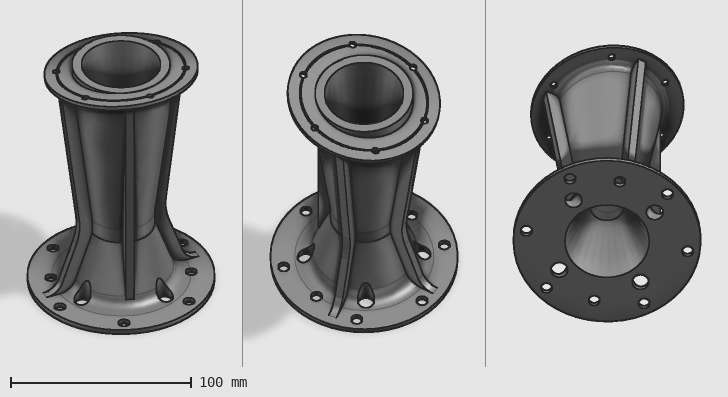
import cadquery as cq
import math

BASE_RADIUS = 51.9
BASE_THICKNESS = 3.0
BOLT_HOLE_RADIUS = 3.1
BOLT_CIRCLE_RADIUS = 45.1
BOLT_ANGLES = (32, 107, 157.5)
INNER_BOLT_CIRCLE_RADIUS = 39.0
INNER_BOLT_ANGLE = 69.5

THROAT_RADIUS = 18.7
THROAT_BOTTOM = 38.5
THROAT_TOP = 47.5
LOWER_ANGLE = 19.6
UPPER_ANGLE = 7.0
WALL = 9.1
FOOT_FILLET = 10.0

TOTAL_HEIGHT = 149.9
TILT = 8.5
FLANGE_RADIUS = 42.5
FLANGE_THICKNESS = 2.2
FLANGE_FILLET = 5.0
GROOVE_INNER_RADIUS = 35.2
GROOVE_WIDTH = 0.7
GROOVE_DEPTH = 0.7
FLANGE_HOLE_RADIUS = 2.0
FLANGE_HOLE_COUNT = 6
FLANGE_HOLE_START = 2.5

COLLAR_RADIUS = 27.1
COLLAR_TOP = 147.3
COLLAR_BOTTOM = 131.9

RIB_WIDTH = 4.6
RIB_HEIGHT = 7.3
RIB_ANGLES = (90, 170, 270)
RIB_BEND_RADIUS = 34.5
WEB_RADIUS = 30.0
WEB_ANGLE = -15

POCKET_RADIUS = 4.6
POCKET_CIRCLE_RADIUS = 32.2
POCKET_COUNT = 4
POCKET_START = 24
POCKET_HEIGHT = 30.0

LOWER_LEAN = math.radians(LOWER_ANGLE)
UPPER_LEAN = math.radians(UPPER_ANGLE)
FLANGE_TOP = TOTAL_HEIGHT - FLANGE_RADIUS * math.sin(math.radians(TILT))
FLANGE_HOLE_CIRCLE_RADIUS = GROOVE_INNER_RADIUS + GROOVE_WIDTH
ROUGH_HEIGHT = 155.9
ROOT_DEPTH = WALL / 2
FOOT_TANGENT = FOOT_FILLET * math.tan(math.pi / 4 - LOWER_LEAN / 2)
BOLT_PATTERN = [(BOLT_CIRCLE_RADIUS, angle) for angle in BOLT_ANGLES]
BOLT_PATTERN.append((INNER_BOLT_CIRCLE_RADIUS, INNER_BOLT_ANGLE))


def lower_radius(z, offset=0.0):
    """Radius of the lower cone, moved outward along its normal by offset."""
    return THROAT_RADIUS + offset / math.cos(LOWER_LEAN) + (THROAT_BOTTOM - z) * math.tan(LOWER_LEAN)


def upper_radius(z, offset=0.0):
    """Radius of the upper cone, moved outward along its normal by offset."""
    return THROAT_RADIUS + offset / math.cos(UPPER_LEAN) + (z - THROAT_TOP) * math.tan(UPPER_LEAN)


def turned(part, angle):
    return part.rotate((0, 0, 0), (0, 0, 1), angle)


def on_flange(part):
    """Move a part built about the origin onto the top face of the flange."""
    return part.rotate((0, 0, 0), (0, 1, 0), -TILT).translate((0, 0, FLANGE_TOP))


def below_flange(part):
    """Trim a part at the middle of the flange thickness."""
    size = 4 * FLANGE_RADIUS
    block = cq.Workplane("XY").workplane(offset=-FLANGE_THICKNESS / 2).rect(size, size).extrude(size)
    return part.cut(on_flange(block))


def foot_curve(outline, offset=0.0):
    """Continue an outline along the base plate and up the concave foot arc."""
    corner = lower_radius(BASE_THICKNESS, offset)
    middle_angle = math.radians(225) + LOWER_LEAN / 2
    middle = (
        corner + FOOT_TANGENT + FOOT_FILLET * math.cos(middle_angle),
        BASE_THICKNESS + FOOT_FILLET + FOOT_FILLET * math.sin(middle_angle),
    )
    end = (
        corner - FOOT_TANGENT * math.sin(LOWER_LEAN),
        BASE_THICKNESS + FOOT_TANGENT * math.cos(LOWER_LEAN),
    )
    return outline.lineTo(corner + FOOT_TANGENT, BASE_THICKNESS).threePointArc(middle, end)


def make_body():
    """Solid base plate and waisted body, topped by the tilted flange."""
    outline = cq.Workplane("XZ").lineTo(BASE_RADIUS, 0).lineTo(BASE_RADIUS, BASE_THICKNESS)
    outline = (
        foot_curve(outline)
        .lineTo(THROAT_RADIUS, THROAT_BOTTOM)
        .lineTo(THROAT_RADIUS, THROAT_TOP)
        .lineTo(upper_radius(ROUGH_HEIGHT), ROUGH_HEIGHT)
        .lineTo(0, ROUGH_HEIGHT)
        .close()
    )
    body = below_flange(outline.revolve(360, (0, 0, 0), (0, 1, 0)))
    flange = on_flange(cq.Workplane("XY").circle(FLANGE_RADIUS).extrude(-FLANGE_THICKNESS))
    return body.union(flange).edges("%ELLIPSE").fillet(FLANGE_FILLET)


def make_rib(angle):
    """Rib that follows the waisted body down to the base plate."""
    bend_z = (lower_radius(0, RIB_HEIGHT) - upper_radius(0, RIB_HEIGHT)) / (
        math.tan(LOWER_LEAN) + math.tan(UPPER_LEAN)
    )
    bend_radius = upper_radius(bend_z, RIB_HEIGHT)
    foot_bottom = BASE_THICKNESS / 2
    foot_end = lower_radius(BASE_THICKNESS, RIB_HEIGHT) + FOOT_TANGENT
    outline = cq.Workplane("XZ").moveTo(lower_radius(foot_bottom, -ROOT_DEPTH), foot_bottom)
    outline = (
        foot_curve(outline.lineTo(foot_end, foot_bottom), RIB_HEIGHT)
        .lineTo(bend_radius, bend_z)
        .lineTo(upper_radius(ROUGH_HEIGHT, RIB_HEIGHT), ROUGH_HEIGHT)
        .lineTo(upper_radius(ROUGH_HEIGHT, -ROOT_DEPTH), ROUGH_HEIGHT)
        .lineTo(THROAT_RADIUS - ROOT_DEPTH, THROAT_TOP)
        .lineTo(THROAT_RADIUS - ROOT_DEPTH, THROAT_BOTTOM)
        .close()
    )
    rib = outline.extrude(RIB_WIDTH / 2, both=True)
    bend = cq.NearestToPointSelector((bend_radius, 0, bend_z))
    return below_flange(turned(rib.edges(bend).fillet(RIB_BEND_RADIUS), angle))


def make_web():
    """Upright web whose outer edge is parallel to the axis."""
    inner = THROAT_RADIUS - ROOT_DEPTH
    web = (
        cq.Workplane("XY")
        .workplane(offset=BASE_THICKNESS)
        .moveTo((inner + WEB_RADIUS) / 2, 0)
        .rect(WEB_RADIUS - inner, RIB_WIDTH)
        .extrude(ROUGH_HEIGHT)
    )
    return below_flange(turned(web, WEB_ANGLE))


def make_bore():
    """Waisted passage that keeps the wall constant."""
    throat = THROAT_RADIUS - WALL
    outline = (
        cq.Workplane("XZ")
        .lineTo(throat + THROAT_BOTTOM * math.tan(LOWER_LEAN), 0)
        .lineTo(throat, THROAT_BOTTOM)
        .lineTo(throat, THROAT_TOP)
        .lineTo(throat + (ROUGH_HEIGHT - THROAT_TOP) * math.tan(UPPER_LEAN), ROUGH_HEIGHT)
        .lineTo(0, ROUGH_HEIGHT)
        .close()
    )
    return outline.revolve(360, (0, 0, 0), (0, 1, 0))


shell = make_body()
for rib_angle in RIB_ANGLES:
    shell = shell.union(make_rib(rib_angle))
shell = shell.union(make_web())

collar = (
    cq.Workplane("XY")
    .workplane(offset=COLLAR_BOTTOM)
    .circle(COLLAR_RADIUS)
    .extrude(COLLAR_TOP - COLLAR_BOTTOM)
)
clearance = (
    cq.Workplane("XY")
    .workplane(offset=COLLAR_TOP)
    .circle(COLLAR_RADIUS)
    .extrude(ROUGH_HEIGHT - COLLAR_TOP)
)
shell = shell.union(collar).cut(clearance).cut(make_bore())

groove = (
    cq.Workplane("XY")
    .circle(GROOVE_INNER_RADIUS + GROOVE_WIDTH)
    .circle(GROOVE_INNER_RADIUS)
    .extrude(-GROOVE_DEPTH)
)
flange_holes = (
    cq.Workplane("XY")
    .polarArray(FLANGE_HOLE_CIRCLE_RADIUS, FLANGE_HOLE_START, 360, FLANGE_HOLE_COUNT)
    .circle(FLANGE_HOLE_RADIUS)
    .extrude(-FLANGE_THICKNESS)
)
shell = shell.cut(on_flange(groove)).cut(on_flange(flange_holes))

for radius, start_angle in BOLT_PATTERN:
    bolt_holes = (
        cq.Workplane("XY")
        .polarArray(radius, start_angle, 360, 2)
        .circle(BOLT_HOLE_RADIUS)
        .extrude(3 * BASE_THICKNESS)
    )
    shell = shell.cut(bolt_holes)

pockets = (
    cq.Workplane("XY")
    .polarArray(POCKET_CIRCLE_RADIUS, POCKET_START, 360, POCKET_COUNT)
    .circle(POCKET_RADIUS)
    .extrude(POCKET_HEIGHT)
)
result = shell.cut(pockets)